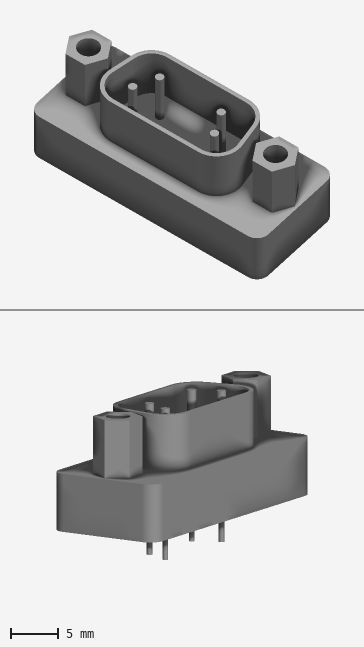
import cadquery as cq
import math

FLANGE_LENGTH = 30.9
FLANGE_WIDTH = 12.9
FLANGE_HEIGHT = 6.2
FLANGE_CORNER_RADIUS = 1.5

SHELL_WIDTH = 17.83
SHELL_DEPTH = 9.25
SHELL_HEIGHT = 6.0
SHELL_WALL = 0.5
SHELL_CORNER_RADIUS = 3.1
SHELL_SIDE_ANGLE = math.radians(10)

POST_SPACING = 25.0
POST_ACROSS_CORNERS = 5.2
POST_HEIGHT = 6.2
POST_HOLE_DIAMETER = 2.63

PIN_DIAMETER = 1.0
TAIL_DIAMETER = 0.6
TAIL_LENGTH = 4.0
FRONT_ROW_X = 5.47
BACK_ROW_X = 4.1
ROW_SPACING = 2.85

PIN_POSITIONS = [
    (side * row_x, row_y)
    for row_x, row_y in ((FRONT_ROW_X, -ROW_SPACING / 2), (BACK_ROW_X, ROW_SPACING / 2))
    for side in (-1, 1)
]
POST_POSITIONS = [(side * POST_SPACING / 2, 0) for side in (-1, 1)]


def make_flange():
    block = cq.Workplane("XY").box(
        FLANGE_LENGTH, FLANGE_WIDTH, FLANGE_HEIGHT, centered=(True, True, False)
    )
    return block.edges("|Z").fillet(FLANGE_CORNER_RADIUS).translate((0, 0, -FLANGE_HEIGHT))


def shell_prism(inset):
    """Rounded trapezoidal prism, set in from the outside of the shell by the given distance."""
    half_depth = SHELL_DEPTH / 2 - inset
    radius = SHELL_CORNER_RADIUS - inset
    arc_x = SHELL_WIDTH / 2 - inset - radius
    arc_y = radius - half_depth
    slope = math.tan(SHELL_SIDE_ANGLE)
    side_x_at_arc = arc_x + radius / math.cos(SHELL_SIDE_ANGLE)
    front_x = side_x_at_arc + (arc_y + half_depth) * slope
    back_x = side_x_at_arc - (half_depth - arc_y) * slope
    return (
        cq.Workplane("XY")
        .polyline([
            (-front_x, -half_depth),
            (front_x, -half_depth),
            (back_x, half_depth),
            (-back_x, half_depth),
        ])
        .close()
        .extrude(SHELL_HEIGHT)
        .edges("|Z")
        .fillet(radius)
    )


def make_shell():
    return shell_prism(0).cut(shell_prism(SHELL_WALL))


def make_posts():
    posts = (
        cq.Workplane("XY")
        .pushPoints(POST_POSITIONS)
        .polygon(6, POST_ACROSS_CORNERS)
        .extrude(POST_HEIGHT)
    )
    holes = (
        cq.Workplane("XY")
        .pushPoints(POST_POSITIONS)
        .circle(POST_HOLE_DIAMETER / 2)
        .extrude(POST_HEIGHT)
    )
    return posts.cut(holes)


def make_contacts():
    pins = cq.Workplane("XY").pushPoints(PIN_POSITIONS).circle(PIN_DIAMETER / 2).extrude(SHELL_HEIGHT)
    tails = (
        cq.Workplane("XY", origin=(0, 0, -FLANGE_HEIGHT))
        .pushPoints(PIN_POSITIONS)
        .circle(TAIL_DIAMETER / 2)
        .extrude(-TAIL_LENGTH)
    )
    return pins.union(tails)


result = make_flange().union(make_shell()).union(make_posts()).union(make_contacts())